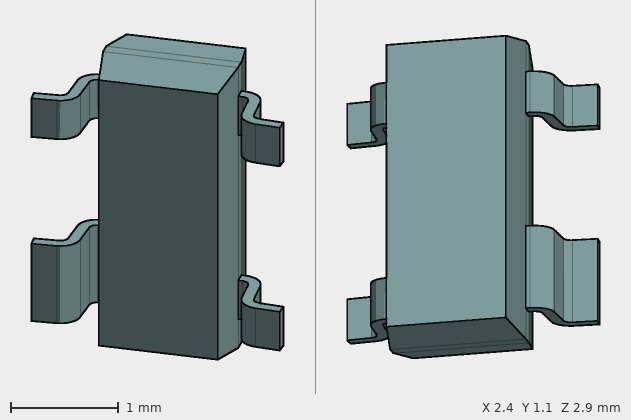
import cadquery as cq
import math

BODY_WIDTH = 1.3
BODY_DEPTH = 1.0
BODY_HEIGHT = 2.9
BAND_DEPTH = 0.115
DRAFT_ANGLE = 10.0
TAPER_DEPTH = (BODY_DEPTH - BAND_DEPTH) / 2

LEAD_THICKNESS = BAND_DEPTH
LEAD_SPAN = 2.4
STANDOFF = 0.1
SHOULDER_LENGTH = 0.038
INNER_RADIUS = 0.075
OUTER_RADIUS = INNER_RADIUS + LEAD_THICKNESS
LEG_ANGLE = math.radians(3.0)
FOOT_ANGLE = math.radians(4.0)
LEAD_WIDTH = 0.4
WIDE_LEAD_WIDTH = 2 * LEAD_WIDTH
LEAD_OUTER_EDGE = 1.15


def make_body():
    """Straight middle band with a tapered block on its front and back."""
    def block(face_y, depth, direction, taper):
        plane = cq.Plane(origin=(0, face_y, 0), xDir=(1, 0, 0), normal=(0, direction, 0))
        return cq.Workplane(plane).rect(BODY_WIDTH, BODY_HEIGHT).extrude(depth, taper=taper)

    band = block(-BAND_DEPTH / 2, BAND_DEPTH, 1, 0)
    back = block(BAND_DEPTH / 2, TAPER_DEPTH, 1, DRAFT_ANGLE)
    front = block(-BAND_DEPTH / 2, TAPER_DEPTH, -1, DRAFT_ANGLE)
    return band.union(back).union(front)


def offset(point, distance, direction):
    """Move a point along a unit direction in the XY plane."""
    return (point[0] + distance * direction[0], point[1] + distance * direction[1])


def unit(angle):
    return (math.cos(angle), math.sin(angle))


def make_lead(width, bottom_z):
    """Gull-wing lead on the +X side, extruded upwards from bottom_z."""
    root_x = BODY_WIDTH / 2
    top_y = LEAD_THICKNESS / 2
    tip_x = LEAD_SPAN / 2
    sole_y = -BODY_DEPTH / 2 - STANDOFF

    leg = unit(LEG_ANGLE - math.pi / 2)
    leg_normal = unit(LEG_ANGLE)
    sole_normal = unit(-FOOT_ANGLE - math.pi / 2)

    tip_bottom = (tip_x + LEAD_THICKNESS * sole_normal[0], sole_y)
    tip_top = offset(tip_bottom, -LEAD_THICKNESS, sole_normal)

    upper = (root_x + SHOULDER_LENGTH, top_y - OUTER_RADIUS)
    across = offset(upper, INNER_RADIUS + OUTER_RADIUS, leg_normal)
    sole_gap = (tip_bottom[0] - across[0]) * sole_normal[0] + (tip_bottom[1] - across[1]) * sole_normal[1]
    leg_alignment = leg[0] * sole_normal[0] + leg[1] * sole_normal[1]
    leg_length = (sole_gap - OUTER_RADIUS) / leg_alignment
    lower = offset(across, leg_length, leg)

    upper_mid = unit((LEG_ANGLE + math.pi / 2) / 2)
    lower_mid = unit((LEG_ANGLE - FOOT_ANGLE) / 2 - 3 * math.pi / 4)

    return (
        cq.Workplane("XY", origin=(0, 0, bottom_z))
        .moveTo(root_x, top_y)
        .lineTo(upper[0], top_y)
        .threePointArc(offset(upper, OUTER_RADIUS, upper_mid), offset(upper, OUTER_RADIUS, leg_normal))
        .lineTo(*offset(lower, -INNER_RADIUS, leg_normal))
        .threePointArc(offset(lower, INNER_RADIUS, lower_mid), offset(lower, INNER_RADIUS, sole_normal))
        .lineTo(*tip_top)
        .lineTo(*tip_bottom)
        .lineTo(*offset(lower, OUTER_RADIUS, sole_normal))
        .threePointArc(offset(lower, OUTER_RADIUS, lower_mid), offset(lower, -OUTER_RADIUS, leg_normal))
        .lineTo(*offset(upper, INNER_RADIUS, leg_normal))
        .threePointArc(offset(upper, INNER_RADIUS, upper_mid), (upper[0], top_y - LEAD_THICKNESS))
        .lineTo(root_x, top_y - LEAD_THICKNESS)
        .close()
        .extrude(width)
    )


body = make_body()

upper_lead_z = LEAD_OUTER_EDGE - LEAD_WIDTH
lower_lead_z = -LEAD_OUTER_EDGE
right_leads = [make_lead(LEAD_WIDTH, z) for z in (upper_lead_z, lower_lead_z)]
left_lead = make_lead(LEAD_WIDTH, upper_lead_z).mirror("YZ")
wide_lead = make_lead(WIDE_LEAD_WIDTH, lower_lead_z).mirror("YZ")

result = cq.Compound.makeCompound(
    [body.val(), *[lead.val() for lead in right_leads], left_lead.val(), wide_lead.val()]
)